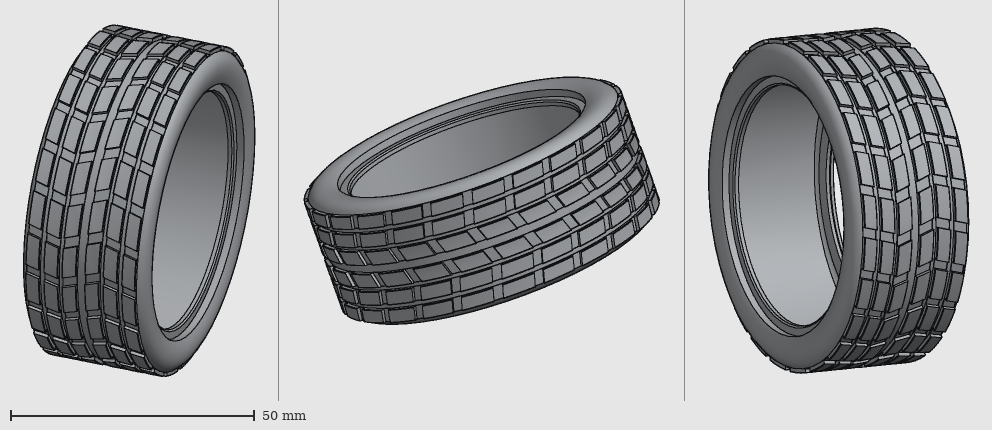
import cadquery as cq
import math

tread_radius = 34.5
carcass_radius = 33.6
shoulder_half_width = 12.0
max_half_width = 13.71

shoulder_x = 13.2
shoulder_radius = 32.45
bulge_radius = 30.05
bead_step_x = 12.9
bead_step_radius = 26.9
bead_face_x = 11.3
bead_thickness = 1.2
bore_radius = 24.9
lip_fillet = 0.35

cavity_radius = 32.7
cavity_half_width = 11.45
cavity_bulge_x = 12.4

inner_ring = (0.93, 4.1)
middle_ring = (4.94, 8.045)
outer_ring = (9.05, shoulder_half_width)
ring_root_radius = 33.15
rim_chamfer = 0.15

groove_count = 24
groove_floor_radius = 33.8
groove_overlap = 0.2
groove_cutter_height = 1.4
outer_groove_width = 2.1
outer_groove_slope = -math.tan(math.radians(15))
inner_groove_width = 2.35
inner_groove_slope = math.tan(math.radians(20))

groove_rows = [
    (-outer_ring[1], -middle_ring[0], 0.0, outer_groove_slope, outer_groove_width),
    (-inner_ring[1], -inner_ring[0], -0.2, inner_groove_slope, inner_groove_width),
    (inner_ring[0], inner_ring[1], 1.6, inner_groove_slope, inner_groove_width),
    (middle_ring[0], outer_ring[1], 0.55, outer_groove_slope, outer_groove_width),
]


def line_across(half_width, radius):
    return cq.Edge.makeLine(cq.Vector(-half_width, radius), cq.Vector(half_width, radius))


def make_carcass():
    """Tyre shell: one side of the section and its mirror image, joined and revolved."""
    bead_inner_x = bead_face_x - bead_thickness
    bead_outer_radius = bead_step_radius + bead_thickness
    cavity_bulge_radius = (cavity_radius + bead_outer_radius) / 2
    right_side = (
        cq.Workplane("XY")
        .moveTo(shoulder_half_width, carcass_radius)
        .spline(
            [
                (shoulder_x, shoulder_radius),
                (max_half_width, bulge_radius),
                (bead_step_x, bead_step_radius),
            ],
            includeCurrent=True,
        )
        .lineTo(bead_face_x, bead_step_radius)
        .lineTo(bead_face_x, bore_radius + lip_fillet)
        .radiusArc((bead_face_x - lip_fillet, bore_radius), -lip_fillet)
        .lineTo(bead_inner_x, bore_radius)
        .lineTo(bead_inner_x, bead_outer_radius)
        .lineTo(cavity_half_width, bead_outer_radius)
        .threePointArc((cavity_bulge_x, cavity_bulge_radius), (cavity_half_width, cavity_radius))
        .wire()
        .val()
    )
    left_side = right_side.mirror("YZ")
    outer_line = line_across(shoulder_half_width, carcass_radius)
    inner_line = line_across(cavity_half_width, cavity_radius)
    edges = right_side.Edges() + [inner_line] + left_side.Edges() + [outer_line]
    section = cq.Wire.combine(edges)[0]
    return cq.Solid.revolve(section, [], 360, cq.Vector(0, 0, 0), cq.Vector(1, 0, 0))


def make_ring(start_x, end_x):
    """Tread ring with chamfered rims; its root is sunk into the carcass."""
    rim_radius = tread_radius - rim_chamfer
    profile = (
        cq.Workplane("XY")
        .polyline(
            [
                (start_x, ring_root_radius),
                (start_x, rim_radius),
                (start_x + rim_chamfer, tread_radius),
                (end_x - rim_chamfer, tread_radius),
                (end_x, rim_radius),
                (end_x, ring_root_radius),
            ]
        )
        .close()
    )
    return profile.revolve(360, (0, 0, 0), (1, 0, 0)).val()


def make_grooves(start_x, end_x, centre_z, slope, width):
    """Row of slanted cutters around the tread, starting with the one on the -Y side."""
    middle_x = (start_x + end_x) / 2
    half_span = (end_x - start_x) / 2 + groove_overlap
    left = middle_x - half_span
    right = middle_x + half_span
    left_z = centre_z - slope * half_span
    right_z = centre_z + slope * half_span
    cutter = (
        cq.Workplane("XZ", origin=(0, -groove_floor_radius, 0))
        .polyline(
            [
                (left, left_z - width / 2),
                (right, right_z - width / 2),
                (right, right_z + width / 2),
                (left, left_z + width / 2),
            ]
        )
        .close()
        .extrude(groove_cutter_height)
        .val()
    )
    pitch = 360 / groove_count
    return [cutter.rotate((0, 0, 0), (1, 0, 0), i * pitch) for i in range(groove_count)]


tyre = make_carcass()
for start_x, end_x in (inner_ring, middle_ring, outer_ring):
    tyre = tyre.fuse(make_ring(start_x, end_x))
    tyre = tyre.fuse(make_ring(-end_x, -start_x))

cutters = []
for groove_row in groove_rows:
    cutters += make_grooves(*groove_row)

result = cq.Workplane(tyre.cut(*cutters).Solids()[0])